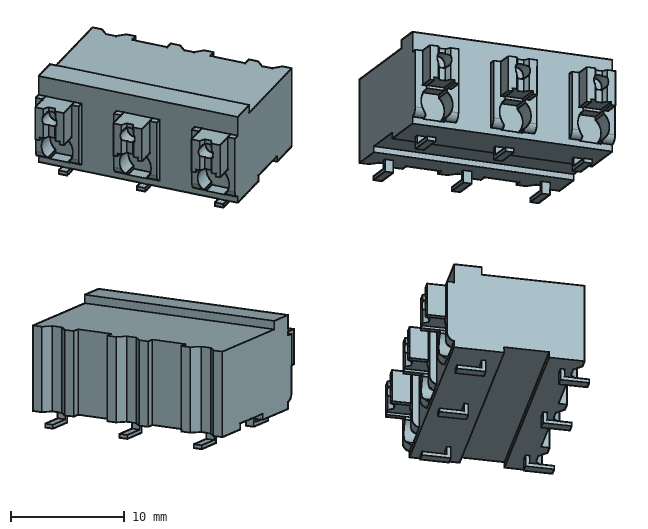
import cadquery as cq
import math


pole_count = 3
pole_pitch = 7.5
pole_width = 4.13
pole_centres = [(i - (pole_count - 1) / 2) * pole_pitch for i in range(pole_count)]

housing_length = (pole_count - 1) * pole_pitch + pole_width
housing_depth = 11.7
housing_height = 8.51
rail_depth = 2.49
rail_height = 0.77
deck_height = housing_height - rail_height

channel_front = 4.5
channel_rear = 8.51
channel_height = 0.55

rear_recess_depth = 0.77
rear_recess_width = pole_pitch - pole_width
vee_depth = 0.69
vee_bottom_width = 0.95
vee_top_width = vee_bottom_width + 2 * vee_depth

pad_projection = 0.61
pad_bottom = 0.61
pad_top = 6.65
pad_edge_radius = 0.77

button_width = 2.75
button_bottom = 3.46
button_height = pad_top - button_bottom
button_projection = 2.28
groove_depth = 0.48
groove_mouth_width = 1.19
groove_floor_width = 0.6
driver_hole_diameter = 1.4
driver_hole_height = 5.57
driver_hole_depth = 1.53
notch_width = 1.95
notch_height = 0.27

entry_bottom = 0.55
entry_height = button_bottom - entry_bottom
entry_radius = 1.51
entry_slot_width = 1.95

socket_depth = 1.25

pin_width = 0.8
pin_thickness = 0.36
pin_drop = 1.13
pin_foot_length = 2.58
front_pin_heel = 3.2
rear_pin_heel = 9.89


def block(x_centre, width, y_start, y_end, z_start, z_end):
    """Box centred in X, spanning the given Y and Z ranges."""
    return (
        cq.Workplane("XY")
        .box(width, y_end - y_start, z_end - z_start, centered=(True, False, False))
        .translate((x_centre, y_start, z_start))
    )


def make_pad(x_centre):
    """Raised pad, rooted as deep as the rail, with its lower front edge rounded."""
    pad = block(x_centre, pole_width, -pad_projection, rail_depth, pad_bottom, pad_top)
    return pad.edges("|X and <Y and <Z").fillet(pad_edge_radius)


def make_vee(x_centre):
    """Cutter for the full-height V groove behind a pole."""
    return (
        cq.Workplane("XY")
        .polyline([
            (x_centre - vee_top_width / 2, housing_depth),
            (x_centre - vee_bottom_width / 2, housing_depth - vee_depth),
            (x_centre + vee_bottom_width / 2, housing_depth - vee_depth),
            (x_centre + vee_top_width / 2, housing_depth),
        ])
        .close()
        .extrude(deck_height)
    )


def make_wire_entry(x_centre):
    """Cutter for the wire entry, open at the pad face."""
    half_slot = entry_slot_width / 2
    half_height = entry_height / 2
    arc_half_height = math.sqrt(entry_radius**2 - half_slot**2)
    return (
        cq.Workplane("XZ", origin=(x_centre, socket_depth, entry_bottom + half_height))
        .moveTo(-half_slot, -half_height)
        .lineTo(half_slot, -half_height)
        .lineTo(half_slot, -arc_half_height)
        .threePointArc((entry_radius, 0), (half_slot, arc_half_height))
        .lineTo(half_slot, half_height)
        .lineTo(-half_slot, half_height)
        .lineTo(-half_slot, arc_half_height)
        .threePointArc((-entry_radius, 0), (-half_slot, -arc_half_height))
        .close()
        .extrude(socket_depth + pad_projection)
    )


def make_housing():
    body = block(0, housing_length, 0, housing_depth, 0, deck_height)
    body = body.union(block(0, housing_length, 0, rail_depth, 0, housing_height))
    body = body.cut(block(0, housing_length, channel_front, channel_rear, 0, channel_height))
    for left, right in zip(pole_centres, pole_centres[1:]):
        recess_front = housing_depth - rear_recess_depth
        body = body.cut(
            block((left + right) / 2, rear_recess_width, recess_front, housing_depth, 0, deck_height)
        )
    for x in pole_centres:
        body = body.union(make_pad(x))
        body = body.cut(make_vee(x))
        body = body.cut(make_wire_entry(x))
        body = body.cut(block(x, button_width, -pad_projection, socket_depth, button_bottom, pad_top))
    return body


def make_button(x_centre):
    """Push button seated in its socket, its bottom notched over the part outside the housing front."""
    button = block(x_centre, button_width, -button_projection, socket_depth, button_bottom, pad_top)
    groove = (
        cq.Workplane("XY", origin=(x_centre, -button_projection, button_bottom))
        .polyline([
            (-groove_mouth_width / 2, 0),
            (groove_mouth_width / 2, 0),
            (groove_floor_width / 2, groove_depth),
            (-groove_floor_width / 2, groove_depth),
        ])
        .close()
        .extrude(button_height)
    )
    driver_hole = (
        cq.Workplane("XZ", origin=(x_centre, -button_projection + driver_hole_depth, driver_hole_height))
        .circle(driver_hole_diameter / 2)
        .extrude(driver_hole_depth)
    )
    notch = block(
        x_centre, notch_width, -button_projection, 0, button_bottom, button_bottom + notch_height
    )
    return button.cut(groove).cut(driver_hole).cut(notch)


def make_pin(x_centre, heel, toe_direction):
    """L-shaped solder pin; its foot runs from the heel towards toe_direction along Y."""
    leg_inside = heel + toe_direction * pin_thickness
    toe = heel + toe_direction * pin_foot_length
    return (
        cq.Workplane("YZ", origin=(x_centre, 0, 0))
        .polyline([
            (heel, 0),
            (heel, -pin_drop),
            (toe, -pin_drop),
            (toe, pin_thickness - pin_drop),
            (leg_inside, pin_thickness - pin_drop),
            (leg_inside, 0),
        ])
        .close()
        .extrude(pin_width / 2, both=True)
    )


housing = make_housing()
buttons = [make_button(x) for x in pole_centres]
front_pins = [make_pin(x, front_pin_heel, -1) for x in pole_centres]
rear_pins = [make_pin(x, rear_pin_heel, 1) for x in pole_centres]

result = cq.Compound.makeCompound(
    [housing.val()] + [part.val() for part in buttons + front_pins + rear_pins]
)